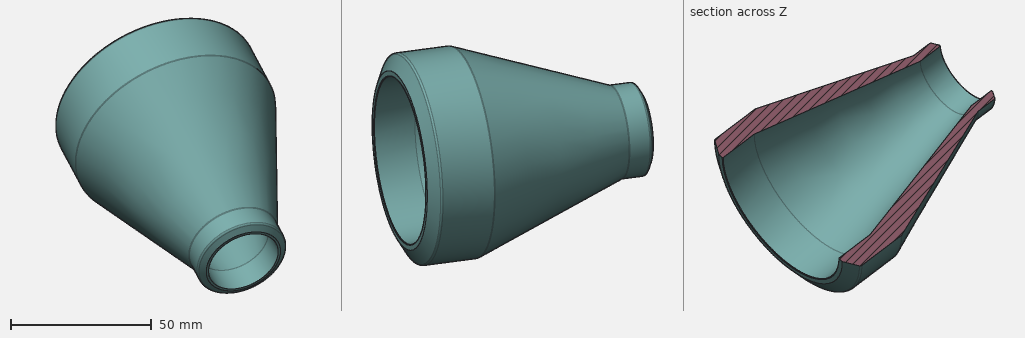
import cadquery as cq
import math

length = 90.0
large_diameter = 76.1
small_diameter = 33.7
large_bore = 60.1
small_bore = 26.5
mouth_chamfer = 0.3

large_collar_end = 23.2
small_collar_start = 80.2
inner_cone_start = 15.3
large_root_face = 1.8
small_root_face = 0.9
bevel_angle = 30.0
edge_radius = 0.9

large_radius = large_diameter / 2
small_radius = small_diameter / 2
large_bore_radius = large_bore / 2
mouth_radius = large_bore_radius + mouth_chamfer
small_bore_radius = small_bore / 2
large_root_radius = mouth_radius + large_root_face
small_root_radius = small_bore_radius + small_root_face
bevel_slope = math.tan(math.radians(bevel_angle))
large_bevel_length = (large_radius - large_root_radius) * bevel_slope
small_bevel_length = (small_radius - small_root_radius) * bevel_slope
small_bevel_start = length - small_bevel_length

section = (
    cq.Workplane("XY")
    .moveTo(0, mouth_radius)
    .lineTo(0, large_root_radius)
    .lineTo(large_bevel_length, large_radius)
    .lineTo(large_collar_end, large_radius)
    .lineTo(small_collar_start, small_radius)
    .lineTo(small_bevel_start, small_radius)
    .lineTo(length, small_root_radius)
    .lineTo(length, small_bore_radius)
    .lineTo(small_collar_start, small_bore_radius)
    .lineTo(inner_cone_start, large_bore_radius)
    .lineTo(mouth_chamfer, large_bore_radius)
    .close()
)
body = section.revolve(360, (0, 0, 0), (1, 0, 0))

small_collar_edges = cq.selectors.RadiusNthSelector(2)
large_collar_edges = cq.selectors.RadiusNthSelector(-1)
for collar_edges in (small_collar_edges, large_collar_edges):
    body = body.edges("%CIRCLE").edges(collar_edges).fillet(edge_radius)

result = body